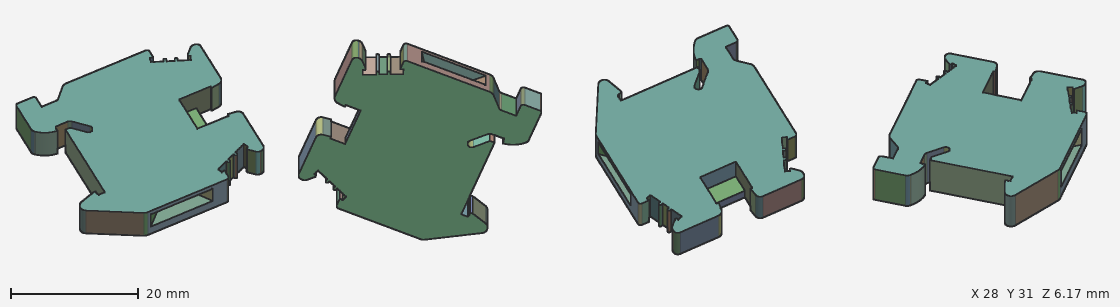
import cadquery as cq
import math


width = 28.0
height = 31.0
thickness = 6.17
half_width = width / 2

gap_half_width = 3.15
gap_bottom_y = 23.28
arm_step_y = 28.83
arm_step_half_width = 2.82
arm_top_half_width = 3.1
arm_top_radius = 0.93
hook_reach = 11.53
hook_top_radius = 0.78
hook_turn_y = 29.67
hook_turn_radius = 0.93
lip_inner_x = 9.98
lip_bottom_y = 28.4
lip_notch = (9.9, 28.75)

flank_top = (9.1, 28.43)
flank_bottom = (11.62, 22.63)
shoulder_y = 23.4
shoulder_inner_x = 12.25
shoulder_undercut = (12.4, 22.88)
shoulder_radius = 0.45
nub_heights = (24.68, 26.3)
nub_radius = 0.25
nub_reach = 0.28

ledge_top_y = 26.32

neck_outer_x = -11.72
neck_inner_x = -7.3
neck_top_y = 8.43
neck_bottom_y = 6.25
neck_top_radius = 1.18
neck_bottom_radius = 0.62
foot_top_y = 3.47
foot_top_radius = 0.45
foot_bottom_radius = 0.37
toe_bottom_x = -8.2
toe_bottom_radius = 0.95
toe_bulge = (-6.63, 1.67)
toe_bulge_radius = 5.27
toe_tip_x = -6.45

rail_y = 4.77
rail_left_x = -6.08
rail_right_x = 7.5
catch_y = 3.55
catch_root_rise = 0.12
catch_root_run = 0.3
slot_end = (-4.5, 8.03)
slot_radius = 0.62
slot_corner_radius = 0.78

barb_x = 6.7
wedge_tip_x = 8.43
wedge_tip_radius = 1.0
wedge_inner_angle = math.radians(18)
wedge_outer_angle = math.radians(30)
wedge_top_radius = 1.25

pocket_floor_z = 1.95
pocket_height = 3.25
pocket_depth = 4.37
pocket_mouth_y = (9.55, 20.45)
pocket_back_y = (14.15, 17.42)


def sharp(*points):
    """Corners without rounding, as (x, y, radius)."""
    return [(x, y, 0.0) for x, y in points]


def mirrored(corners):
    """The same corners on the other side of X = 0, in reverse order."""
    return [(-x, y, radius) for x, y, radius in reversed(corners)]


def rounded_outline(corners):
    """Closed wire of straight lines through (x, y, radius) corners joined by tangent arcs."""
    rounded = []
    for i, (x, y, radius) in enumerate(corners):
        corner = cq.Vector(x, y)
        if radius == 0:
            rounded.append((corner, None, corner))
            continue
        back = (cq.Vector(*corners[i - 1][:2]) - corner).normalized()
        ahead = (cq.Vector(*corners[(i + 1) % len(corners)][:2]) - corner).normalized()
        half_angle = back.getAngle(ahead) / 2
        tangent_length = radius / math.tan(half_angle)
        middle_distance = radius / math.sin(half_angle) - radius
        middle = corner + (back + ahead).normalized() * middle_distance
        rounded.append((corner + back * tangent_length, middle, corner + ahead * tangent_length))

    edges = []
    for i, (start, middle, end) in enumerate(rounded):
        previous_end = rounded[i - 1][2]
        if (start - previous_end).Length > 3.1e-07:
            edges.append(cq.Edge.makeLine(previous_end, start))
        if middle is not None:
            edges.append(cq.Edge.makeThreePointArc(start, middle, end))
    return cq.Wire.assembleEdges(edges)


def right_head():
    """Corners of the right arm, from the central gap out to the shoulder."""
    lip_outer_x = hook_reach - (hook_turn_y - lip_bottom_y)
    return [
        *sharp(
            (gap_half_width, gap_bottom_y),
            (gap_half_width, arm_step_y),
            (arm_step_half_width, arm_step_y),
        ),
        (arm_top_half_width, height, arm_top_radius),
        (hook_reach, height, hook_top_radius),
        (hook_reach, hook_turn_y, hook_turn_radius),
        *sharp(
            (lip_outer_x, lip_bottom_y),
            (lip_inner_x, lip_bottom_y),
            lip_notch,
            flank_top,
            flank_bottom,
            shoulder_undercut,
            (shoulder_inner_x, shoulder_y),
        ),
        (half_width, shoulder_y, shoulder_radius),
    ]


def right_foot():
    """Corners of the wedge foot, from the right wall round to the rail recess."""
    inner_slope = math.tan(wedge_inner_angle)
    outer_slope = math.tan(wedge_outer_angle)
    inner_x = wedge_tip_x - wedge_tip_radius / math.cos(wedge_inner_angle)
    outer_x = wedge_tip_x + wedge_tip_radius / math.cos(wedge_outer_angle)
    point_drop = (outer_x - inner_x) / (inner_slope + outer_slope)
    return [
        (half_width, wedge_tip_radius + (half_width - outer_x) / outer_slope, wedge_top_radius),
        (inner_x + point_drop * inner_slope, wedge_tip_radius - point_drop, wedge_tip_radius),
        *sharp(
            (barb_x, wedge_tip_radius + (inner_x - barb_x) / inner_slope),
            (barb_x, catch_y),
            (rail_right_x - catch_root_run, catch_y),
            (rail_right_x, catch_y + catch_root_rise),
            (rail_right_x, rail_y),
        ),
    ]


def left_foot():
    """Corners of the relief slot and left foot, from the rail recess up to the left wall."""
    end_x, end_y = slot_end
    side_offset = slot_radius * math.sqrt(2)
    return [
        *sharp(
            (rail_left_x, rail_y),
            (rail_left_x, end_y + rail_left_x - end_x - side_offset),
        ),
        (end_x + side_offset, end_y, slot_radius),
        (end_x, end_y + side_offset, slot_radius),
        (neck_inner_x, end_y + neck_inner_x - end_x + side_offset, slot_corner_radius),
        *sharp(
            (neck_inner_x, catch_y + catch_root_rise),
            (neck_inner_x + catch_root_run, catch_y),
            (toe_tip_x, catch_y),
        ),
        (*toe_bulge, toe_bulge_radius),
        (toe_bottom_x, 0.0, toe_bottom_radius),
        (-half_width, 0.0, foot_bottom_radius),
        (-half_width, foot_top_y, foot_top_radius),
        (neck_outer_x, foot_top_y, 0.0),
        (neck_outer_x, neck_bottom_y, neck_bottom_radius),
        (-half_width, neck_top_y, neck_top_radius),
    ]


def plate():
    """The whole block outline at full thickness."""
    head = right_head()
    outline = rounded_outline(head + right_foot() + left_foot() + mirrored(head))
    return cq.Workplane("XY").add(outline).toPending().extrude(thickness)


def nub(foot_y):
    """Round-ended nub standing square on the right flank at height foot_y."""
    run = flank_bottom[0] - flank_top[0]
    rise = flank_top[1] - flank_bottom[1]
    foot_x = flank_bottom[0] - (foot_y - flank_bottom[1]) * run / rise
    tilt = math.degrees(math.atan2(run, rise))
    return (
        cq.Workplane("XY")
        .center(foot_x, foot_y)
        .transformed(rotate=(0, 0, tilt))
        .slot2D(2 * (nub_reach + nub_radius), 2 * nub_radius)
        .extrude(thickness)
    )


def ledge():
    """Floor of the gap, level with the floor of the wire pockets."""
    return (
        cq.Workplane("XY")
        .box(
            2 * gap_half_width,
            ledge_top_y - gap_bottom_y,
            pocket_floor_z,
            centered=(True, False, False),
        )
        .translate((0, gap_bottom_y, 0))
    )


def wire_pocket():
    """Funnel cut in from the left wall."""
    mouth_x = -half_width
    back_x = mouth_x + pocket_depth
    return (
        cq.Workplane("XY")
        .workplane(offset=pocket_floor_z)
        .polyline([
            (mouth_x, pocket_mouth_y[0]),
            (back_x, pocket_back_y[0]),
            (back_x, pocket_back_y[1]),
            (mouth_x, pocket_mouth_y[1]),
        ])
        .close()
        .extrude(pocket_height)
    )


block = plate().union(ledge())
for nub_y in nub_heights:
    right_nub = nub(nub_y)
    block = block.union(right_nub).union(right_nub.mirror("YZ"))

left_pocket = wire_pocket()
result = block.cut(left_pocket).cut(left_pocket.mirror("YZ"))